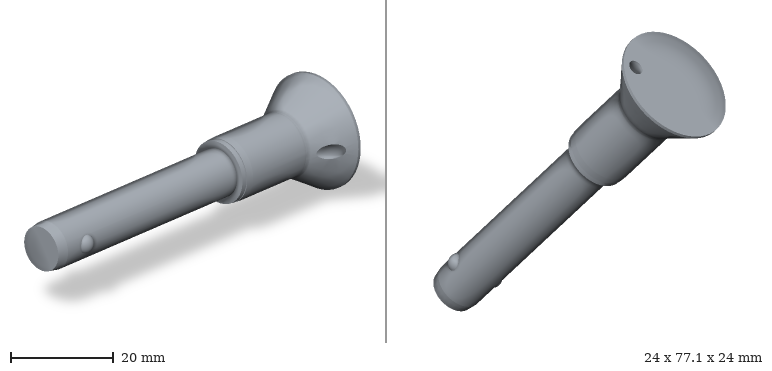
import cadquery as cq

total_length = 77.1
flange_radius = 11.99
grip_radius = 6.7
collar_radius = 6.5
shank_radius = 5.0
tip_radius = 4.6

rim_thickness = 0.7
flare_length = 8.7
head_length = 26.3
collar_length = 1.15
tip_length = 2.3

neck_fillet = 1.55
grip_taper_length = 1.6
grip_end_radius = 6.6

ball_radius = 2.0
ball_reach = 6.0
ball_from_tip = 7.7
lanyard_hole_radius = 1.55
lanyard_hole_offset = 9.2

rim_start = total_length - rim_thickness
grip_top = rim_start - flare_length
head_bottom = total_length - head_length
collar_bottom = head_bottom - collar_length


def make_body():
    """Revolve the half profile of flange, grip, collar and shank about Y."""
    profile = (
        cq.Workplane("XY")
        .moveTo(0, 0)
        .lineTo(tip_radius, 0)
        .lineTo(shank_radius, tip_length)
        .lineTo(shank_radius, collar_bottom)
        .lineTo(collar_radius, collar_bottom)
        .lineTo(collar_radius, head_bottom)
        .lineTo(grip_end_radius, head_bottom)
        .lineTo(grip_radius, head_bottom + grip_taper_length)
        .lineTo(grip_radius, grip_top)
        .lineTo(flange_radius, rim_start)
        .lineTo(flange_radius, total_length)
        .lineTo(0, total_length)
        .close()
    )
    body = profile.revolve(360, (0, 0, 0), (0, 1, 0))
    select_margin = 0.1
    neck = cq.selectors.BoxSelector(
        (-flange_radius, grip_top - select_margin, -flange_radius),
        (flange_radius, grip_top + select_margin, flange_radius),
    )
    neck_edges = body.edges("%CIRCLE").edges(neck)
    return neck_edges.fillet(neck_fillet)


def make_ball(side):
    """Locking ball on the +X (side = 1) or -X (side = -1) flank of the shank."""
    center_x = side * (ball_reach - ball_radius)
    return cq.Workplane("XY").sphere(ball_radius).translate((center_x, ball_from_tip, 0))


def make_lanyard_hole():
    """Cutter parallel to the pin, passing through the flange beside the grip."""
    return (
        cq.Workplane("XZ", origin=(lanyard_hole_offset, total_length, 0))
        .circle(lanyard_hole_radius)
        .extrude(head_length)
    )


result = make_body()
for ball_side in (-1, 1):
    result = result.union(make_ball(ball_side))
result = result.cut(make_lanyard_hole())